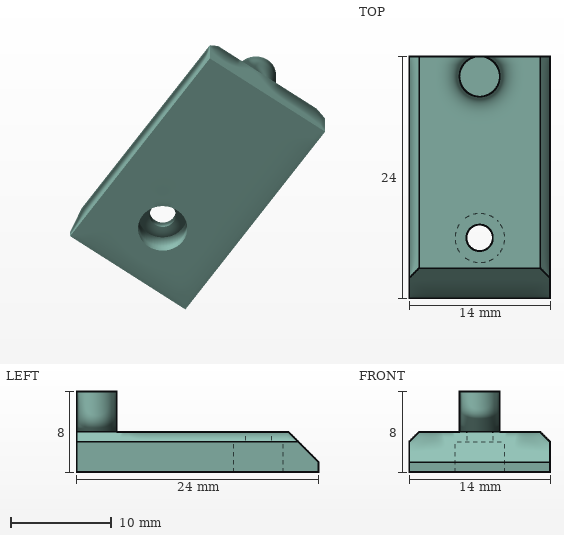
import cadquery as cq

width = 14.0
length = 24.0
thickness = 4.0
side_chamfer = 1.0
nose_bevel = 3.0

pin_diameter = 4.0
pin_height = 4.0
pin_y = length - pin_diameter / 2

hole_diameter = 2.6
hole_y = 6.0
counterbore_diameter = 4.9
counterbore_depth = 3.0


def make_base():
    """Block with chamfered long top edges and a 45 degree bevelled nose."""
    half_width = width / 2
    shoulder_z = thickness - side_chamfer
    section = (
        cq.Workplane("XZ")
        .moveTo(-half_width, 0)
        .lineTo(half_width, 0)
        .lineTo(half_width, shoulder_z)
        .lineTo(half_width - side_chamfer, thickness)
        .lineTo(side_chamfer - half_width, thickness)
        .lineTo(-half_width, shoulder_z)
        .close()
        .extrude(-length)
    )
    nose_wedge = (
        cq.Workplane("YZ")
        .moveTo(0, thickness - nose_bevel)
        .lineTo(nose_bevel, thickness)
        .lineTo(0, thickness)
        .close()
        .extrude(half_width, both=True)
    )
    return section.cut(nose_wedge)


def make_cylinder(diameter, y, bottom_z, height):
    """Upright cylinder on the part's centre line."""
    return (
        cq.Workplane("XY")
        .workplane(offset=bottom_z)
        .center(0, y)
        .circle(diameter / 2)
        .extrude(height)
    )


pin = make_cylinder(pin_diameter, pin_y, 0, thickness + pin_height)
through_hole = make_cylinder(hole_diameter, hole_y, 0, thickness)
counterbore = make_cylinder(counterbore_diameter, hole_y, 0, counterbore_depth)

result = make_base().union(pin).cut(through_hole).cut(counterbore)